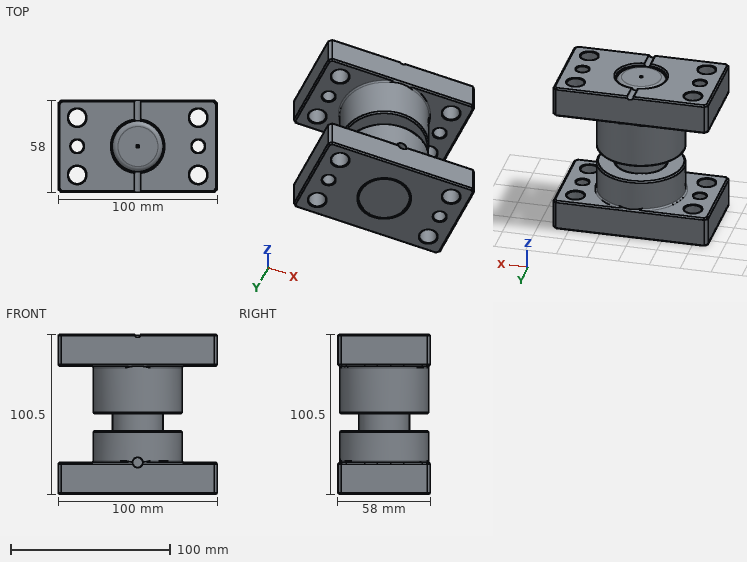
import cadquery as cq

total_height = 100.5
plate_length = 100.0
plate_width = 58.0
plate_thickness = 20.0
plate_edge_chamfer = 1.0
plate_corner_chamfer = 2.0

lower_boss_height = 20.0
upper_boss_height = 30.0
boss_radius = plate_width / 2 - plate_edge_chamfer
boss_end_chamfer = 1.0
boss_root_fillet = 1.0

pin_radius = 16.0
pin_top_recess = 0.6
pin_top_fillet = 3.4
centre_hole_radius = 0.4
centre_hole_depth = 2.0
centre_hole_chamfer = 0.6
bore_mouth_chamfer = 1.0

hole_spacing_x = 76.0
screw_spacing_y = 36.0
screw_hole_diameter = 11.1
dowel_hole_diameter = 8.0
hole_chamfer = 0.5

vent_groove_radius = 2.0
bleed_hole_radius = 3.2


def cylinder(radius, height):
    """Vertical cylinder standing on Z = 0."""
    return cq.Workplane("XY").circle(radius).extrude(height)


def front_cylinder(radius, length, z):
    """Cylinder at height Z that runs from the Y = 0 plane toward -Y, with its seam at top or bottom."""
    rod = cylinder(radius, length).rotate((0, 0, 0), (0, 0, 1), 90)
    return rod.rotate((0, 0, 0), (1, 0, 0), 90).translate((0, 0, z))


def countersink(hole_radius, depth):
    """45 degree cone, wide end on Z = 0, that narrows downward to the hole radius."""
    return (
        cq.Workplane("XY")
        .circle(hole_radius + depth)
        .workplane(offset=-depth)
        .circle(hole_radius)
        .loft(ruled=True)
    )


def drill_plate(plate, points, diameter):
    """Through holes in the plate, with both mouths chamfered."""
    radius = diameter / 2
    drill = cylinder(radius, plate_thickness)
    mouth = countersink(radius, hole_chamfer)
    top_mouth = mouth.translate((0, 0, plate_thickness))
    bottom_mouth = mouth.mirror("XY")
    for x, y in points:
        for tool in (drill, top_mouth, bottom_mouth):
            plate = plate.cut(tool.translate((x, y, 0)))
    return plate


def make_plate():
    """Chamfered plate on Z = 0 with its screw and dowel holes."""
    plate = (
        cq.Workplane("XY")
        .box(plate_length, plate_width, plate_thickness, centered=(True, True, False))
        .edges("|Z")
        .chamfer(plate_corner_chamfer)
        .faces("<Z or >Z")
        .edges()
        .chamfer(plate_edge_chamfer)
    )
    half_x = hole_spacing_x / 2
    half_y = screw_spacing_y / 2
    screw_points = [(x, y) for x in (-half_x, half_x) for y in (-half_y, half_y)]
    dowel_points = [(x, 0) for x in (-half_x, half_x)]
    plate = drill_plate(plate, screw_points, screw_hole_diameter)
    return drill_plate(plate, dowel_points, dowel_hole_diameter)


def make_boss_root():
    """Concave fillet ring around the foot of the boss, trimmed by the plate's edge chamfers."""
    outer = boss_radius + boss_root_fillet
    diagonal = boss_root_fillet * (1 - 0.5**0.5)
    ring = (
        cq.Workplane("XZ")
        .lineTo(outer, 0)
        .threePointArc((boss_radius + diagonal, diagonal), (boss_radius, boss_root_fillet))
        .lineTo(0, boss_root_fillet)
        .close()
        .revolve(360, (0, 0, 0), (0, 1, 0))
    )
    chamfer_planes = (
        cq.Workplane("XY")
        .rect(plate_length - 2 * plate_edge_chamfer, plate_width - 2 * plate_edge_chamfer)
        .extrude(boss_root_fillet, taper=45)
    )
    return ring.intersect(chamfer_planes).translate((0, 0, plate_thickness))


def make_bossed_plate(boss_height):
    """Plate with a round boss on top and a pin bore through both, chamfered at its two mouths."""
    height = plate_thickness + boss_height
    boss = cylinder(boss_radius, boss_height).faces(">Z").chamfer(boss_end_chamfer)
    boss = boss.translate((0, 0, plate_thickness))
    body = make_plate().union(boss).union(make_boss_root())
    bore_mouth = countersink(pin_radius, bore_mouth_chamfer)
    boss_mouth = bore_mouth.translate((0, 0, height))
    plate_mouth = bore_mouth.mirror("XY")
    return body.cut(cylinder(pin_radius, height)).cut(boss_mouth).cut(plate_mouth)


def make_lower_block():
    """Lower plate and boss, with a bleed hole from the -Y side into the pin bore."""
    bleed_hole = front_cylinder(bleed_hole_radius, plate_width / 2, plate_thickness)
    return make_bossed_plate(lower_boss_height).cut(bleed_hole)


def make_upper_block():
    """Upper plate with its boss hanging below, and vent grooves along Y in its top face."""
    block = (
        make_bossed_plate(upper_boss_height)
        .rotate((0, 0, 0), (1, 0, 0), 180)
        .translate((0, 0, total_height))
    )
    vent_groove = front_cylinder(vent_groove_radius, plate_width, total_height)
    vent_groove = vent_groove.translate((0, plate_width / 2, 0))
    return block.cut(vent_groove)


def make_pin():
    """Guide pin with a rounded top rim and a centre hole."""
    pin_length = total_height - pin_top_recess
    pin = cylinder(pin_radius, pin_length).faces(">Z").edges().fillet(pin_top_fillet)
    centre_hole = cylinder(centre_hole_radius, centre_hole_depth)
    centre_hole = centre_hole.translate((0, 0, pin_length - centre_hole_depth))
    centre_mouth = countersink(centre_hole_radius, centre_hole_chamfer).translate((0, 0, pin_length))
    return pin.cut(centre_hole).cut(centre_mouth)


lower_block = make_lower_block()
upper_block = make_upper_block()
pin = make_pin()

result = cq.Compound.makeCompound([body.solids().val() for body in (lower_block, upper_block, pin)])